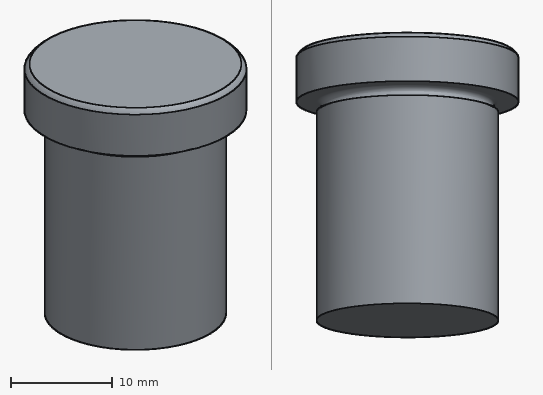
import cadquery as cq
import math

total_height = 27.0
head_diameter = 22.0
head_height = 5.0
head_edge_size = 0.5
shank_diameter = 18.0
undercut_depth = 0.5
head_edge_radius = 1.5
undercut_radius = 0.6

head_radius = head_diameter / 2
shank_radius = shank_diameter / 2
shank_height = total_height - head_height
neck_radius = shank_radius - undercut_depth
neck_height = shank_height - undercut_depth
quarter_offset = undercut_depth * math.sqrt(0.5)

half_section = (
    cq.Workplane("XZ")
    .lineTo(shank_radius, 0)
    .lineTo(shank_radius, neck_height - undercut_depth)
    .radiusArc((neck_radius, neck_height), undercut_radius)
    .threePointArc(
        (shank_radius - quarter_offset, neck_height + quarter_offset),
        (shank_radius, shank_height),
    )
    .lineTo(head_radius, shank_height)
    .lineTo(head_radius, total_height - head_edge_size)
    .radiusArc((head_radius - head_edge_size, total_height), -head_edge_radius)
    .lineTo(0, total_height)
    .close()
)

result = half_section.revolve(360, (0, 0), (0, 1))